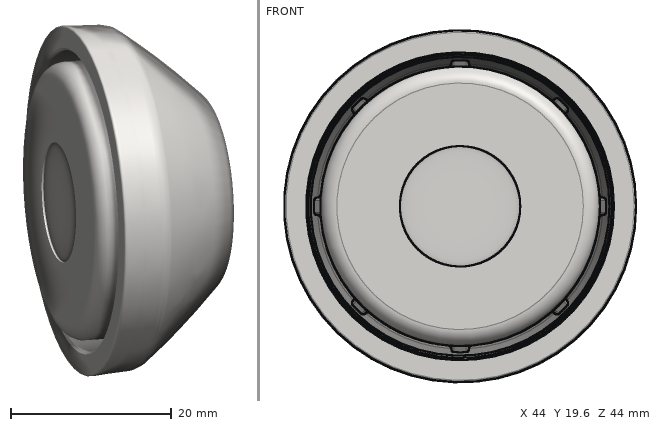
import cadquery as cq
import math


rim_radius = 22.0
pad_projection = 2.05
overall_depth = 19.6
housing_depth = overall_depth - pad_projection

rim_round = 0.25
rim_band_height = 0.5
side_height = 4.95
side_taper = math.radians(3.5)
shoulder_round = 2.65
crown_round = 2.75
shoulder_slope = math.radians(36)
crown_slope = math.radians(42)
back_flat_radius = 10.45
flank_bulge = 0.2

mouth_radius = 19.25
mouth_chamfer = 0.25
throat_radius = 18.65
throat_depth = 4.2
floor_start_radius = 17.8
floor_start_depth = 4.95

rib_count = 8
rib_width = 1.5
rib_drop = 0.4
rib_top_depth = throat_depth + rib_drop
rib_round = 0.35

cavity_depth = rib_top_depth + 2 * rib_round

pad_radius = 17.45
pad_edge_round = pad_projection
recess_radius = 7.52
recess_depth = 0.25


def revolve_profile(profile):
    """Turn a closed (radius, Y) profile fully around the Y axis."""
    return profile.close().revolve(360, (0, 0, 0), (0, 1, 0))


def arc_middle(start, end, bulge):
    """Middle of an arc that bulges to the right of the way from start to end."""
    run = end[0] - start[0]
    rise = end[1] - start[1]
    chord = math.hypot(run, rise)
    return (
        (start[0] + end[0]) / 2 + bulge * rise / chord,
        (start[1] + end[1]) / 2 - bulge * run / chord,
    )


def round_point(centre, radius, angle):
    """Point on a round at an angle measured from the radial direction toward +Y."""
    return (centre[0] + radius * math.cos(angle), centre[1] + radius * math.sin(angle))


def make_housing_blank():
    """Solid outside shape: rounded rim, tapered side, shoulder, bulging flank and crown."""
    side_end = (rim_radius - (side_height - rim_band_height) * math.tan(side_taper), side_height)
    shoulder_centre = (
        side_end[0] - shoulder_round * math.cos(side_taper),
        side_end[1] - shoulder_round * math.sin(side_taper),
    )
    shoulder_middle = round_point(shoulder_centre, shoulder_round, (side_taper + shoulder_slope) / 2)
    shoulder_end = round_point(shoulder_centre, shoulder_round, shoulder_slope)
    crown_centre = (back_flat_radius, housing_depth - crown_round)
    crown_start = round_point(crown_centre, crown_round, crown_slope)
    crown_middle = round_point(crown_centre, crown_round, (crown_slope + math.pi / 2) / 2)
    rim_middle = round_point((rim_radius - rim_round, rim_round), rim_round, -math.pi / 4)
    return revolve_profile(
        cq.Workplane("XY")
        .moveTo(0, 0)
        .lineTo(rim_radius - rim_round, 0)
        .threePointArc(rim_middle, (rim_radius, rim_round))
        .lineTo(rim_radius, rim_band_height)
        .lineTo(*side_end)
        .threePointArc(shoulder_middle, shoulder_end)
        .threePointArc(arc_middle(shoulder_end, crown_start, flank_bulge), crown_start)
        .threePointArc(crown_middle, (back_flat_radius, housing_depth))
        .lineTo(0, housing_depth)
    )


def make_cavity():
    """Open mouth, nearly straight wall and a steeply sloping floor that ends at the pad seat."""
    return revolve_profile(
        cq.Workplane("XY")
        .moveTo(0, 0)
        .lineTo(mouth_radius, 0)
        .lineTo(mouth_radius - mouth_chamfer, mouth_chamfer)
        .lineTo(throat_radius, throat_depth)
        .lineTo(floor_start_radius, floor_start_depth)
        .lineTo(pad_radius, cavity_depth)
        .lineTo(0, cavity_depth)
    )


def make_rib(index):
    """One rib on the cavity floor, each side a round at the top flowing into a fillet at the foot."""
    top_half = rib_width / 2
    turn_half = top_half + rib_round
    foot_half = turn_half + rib_round
    turn_depth = rib_top_depth + rib_round
    top_middle = round_point((top_half, turn_depth), rib_round, -math.pi / 4)
    foot_middle = round_point((foot_half, turn_depth), rib_round, 3 * math.pi / 4)
    rib = (
        cq.Workplane("XY")
        .moveTo(-top_half, rib_top_depth)
        .lineTo(top_half, rib_top_depth)
        .threePointArc(top_middle, (turn_half, turn_depth))
        .threePointArc(foot_middle, (foot_half, cavity_depth))
        .lineTo(-foot_half, cavity_depth)
        .threePointArc((-foot_middle[0], foot_middle[1]), (-turn_half, turn_depth))
        .threePointArc((-top_middle[0], top_middle[1]), (-top_half, rib_top_depth))
        .close()
        .extrude(mouth_radius)
    )
    return rib.rotate((0, 0, 0), (0, 1, 0), index * 360 / rib_count)


def make_pad():
    """Round-edged disc with a shallow front recess, seated on the cavity bottom."""
    front = -pad_projection
    flat_radius = pad_radius - pad_edge_round
    edge_middle = round_point((flat_radius, front + pad_edge_round), pad_edge_round, -math.pi / 4)
    return revolve_profile(
        cq.Workplane("XY")
        .moveTo(0, front + recess_depth)
        .lineTo(recess_radius, front + recess_depth)
        .lineTo(recess_radius, front)
        .lineTo(flat_radius, front)
        .threePointArc(edge_middle, (pad_radius, front + pad_edge_round))
        .lineTo(pad_radius, cavity_depth)
        .lineTo(0, cavity_depth)
    )


pad = make_pad()
housing = make_housing_blank().cut(make_cavity())
for rib_index in range(rib_count):
    housing = housing.union(make_rib(rib_index))
housing = housing.cut(pad)

result = cq.Compound.makeCompound([housing.val(), pad.val()])